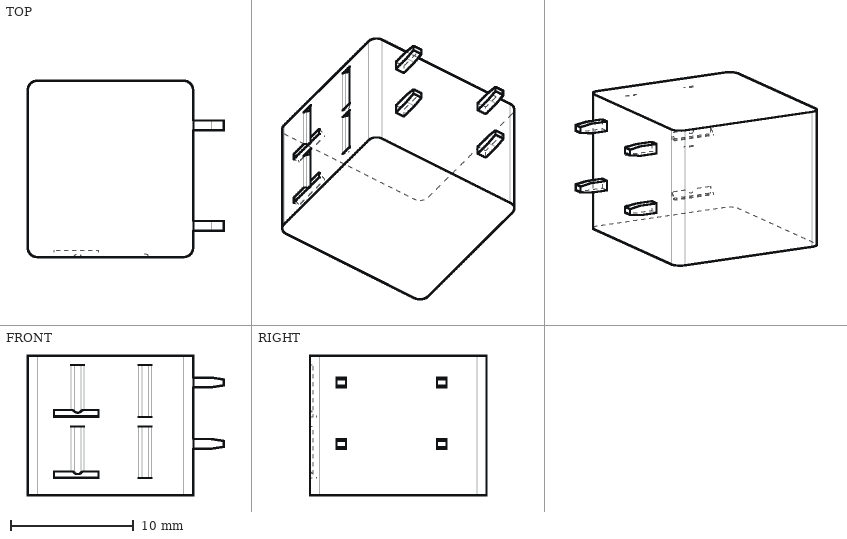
import cadquery as cq
import math

total_length = 16.0
body_length = 13.5
body_depth = 14.4
body_height = 11.4
corner_radius = 0.8
right_face = body_length / 2
front_face = -body_depth / 2

level_pitch = 5.0

pin_size = 0.8
pin_tip_height = 0.5
pin_straight_length = 1.5
pin_length = total_length - body_length
pin_spacing = 8.2
pin_middle_y = -0.55
lower_pin_z = 4.2

groove_spacing = 5.5
groove_middle_x = 0.08
groove_half_width = 0.53
groove_core_half_width = 0.27
groove_depth = 0.25
groove_height = 4.22
lower_groove_z = 1.4

slot_center_x = -2.8
slot_width = 3.62
slot_height = 0.56
slot_depth = 0.55
slot_back_height = 0.06


def pin(y, z):
    """Square pin along +X whose top and bottom taper towards the tip."""
    half = pin_size / 2
    half_tip = pin_tip_height / 2
    taper_start = right_face + pin_straight_length
    pin_end = right_face + pin_length
    return (
        cq.Workplane("XZ", origin=(0, y, z))
        .moveTo(right_face, -half)
        .lineTo(taper_start, -half)
        .lineTo(pin_end, -half_tip)
        .lineTo(pin_end, half_tip)
        .lineTo(taper_start, half)
        .lineTo(right_face, half)
        .close()
        .extrude(half, both=True)
    )


def groove(x, z):
    """Upright groove: a round bottom with tangent rounded edges on both sides."""
    radius_sum = (groove_half_width**2 + groove_depth**2) / (2 * groove_depth)
    core_share = groove_core_half_width / groove_half_width
    core_radius = radius_sum * core_share
    edge_radius = radius_sum - core_radius
    blend_depth = groove_depth * (1 - core_share)

    half_turn = math.asin(groove_half_width / radius_sum) / 2
    edge_mid_x = groove_half_width - edge_radius * math.sin(half_turn)
    edge_mid_depth = edge_radius * (1 - math.cos(half_turn))
    return (
        cq.Workplane("XY", origin=(x, front_face, z))
        .moveTo(-groove_half_width, 0)
        .threePointArc((-edge_mid_x, edge_mid_depth), (-groove_core_half_width, blend_depth))
        .threePointArc((0, groove_depth), (groove_core_half_width, blend_depth))
        .threePointArc((edge_mid_x, edge_mid_depth), (groove_half_width, 0))
        .close()
        .extrude(groove_height)
    )


def wedge_slot(x, z):
    """Slot with a level floor, a low back wall and a roof sloping down from the front face."""
    return (
        cq.Workplane("YZ", origin=(x, front_face, z))
        .polyline([(0, 0), (slot_depth, 0), (slot_depth, slot_back_height), (0, slot_height)])
        .close()
        .extrude(slot_width / 2, both=True)
    )


result = (
    cq.Workplane("XY")
    .box(body_length, body_depth, body_height, centered=(True, True, False))
    .edges("|Z")
    .fillet(corner_radius)
)

for level in range(2):
    rise = level * level_pitch
    for side in (-1, 1):
        result = result.union(pin(pin_middle_y + side * pin_spacing / 2, lower_pin_z + rise))
        result = result.cut(groove(groove_middle_x + side * groove_spacing / 2, lower_groove_z + rise))
    result = result.cut(wedge_slot(slot_center_x, lower_groove_z + rise))